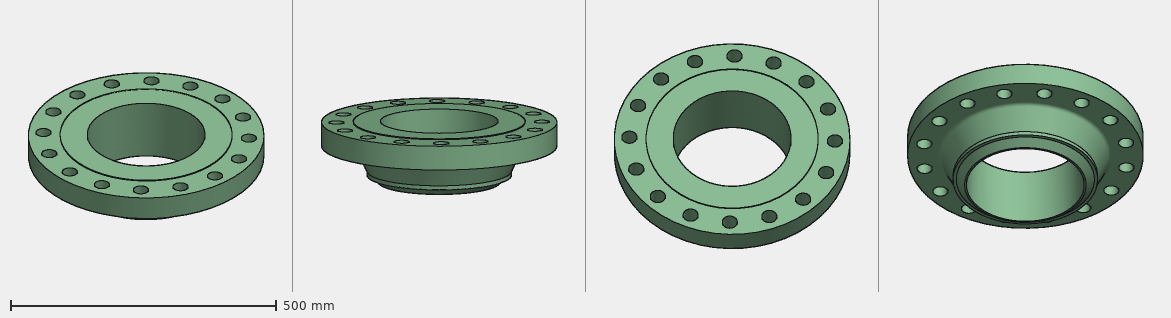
import cadquery as cq

total_height = 117.5
flange_diameter = 444.5
bore_diameter = 222.2

face_diameter = 324.5
face_height = 2.0
plate_thickness = 46.0
plate_top = total_height - face_height
plate_bottom = plate_top - plate_thickness

band_diameter = 273.0
band_bottom = 13.5
band_top = 21.5
bevel_start_diameter = 260.5
weld_tip_diameter = 229.5
hub_base_diameter = 318.3
root_fillet = 8.0

bolt_count = 16
bolt_circle_diameter = 387.5
bolt_hole_diameter = 28.5


def flange_body():
    """Revolve the half section, still without the root fillet."""
    section = [
        (bore_diameter / 2, 0),
        (weld_tip_diameter / 2, 0),
        (bevel_start_diameter / 2, band_bottom),
        (band_diameter / 2, band_bottom),
        (band_diameter / 2, band_top),
        (hub_base_diameter / 2, plate_bottom),
        (flange_diameter / 2, plate_bottom),
        (flange_diameter / 2, plate_top),
        (face_diameter / 2, plate_top),
        (face_diameter / 2, total_height),
        (bore_diameter / 2, total_height),
    ]
    return cq.Workplane("XZ").polyline(section).close().revolve(360, (0, 0), (0, 1))


def bolt_holes():
    """Cylinders on the bolt circle, passing through the plate."""
    return (
        cq.Workplane("XY")
        .workplane(offset=plate_bottom)
        .polarArray(bolt_circle_diameter / 2, 0, 360, bolt_count)
        .circle(bolt_hole_diameter / 2)
        .extrude(plate_thickness)
    )


hub_root = cq.selectors.RadiusNthSelector(4)
result = flange_body().edges(hub_root).fillet(root_fillet).cut(bolt_holes())